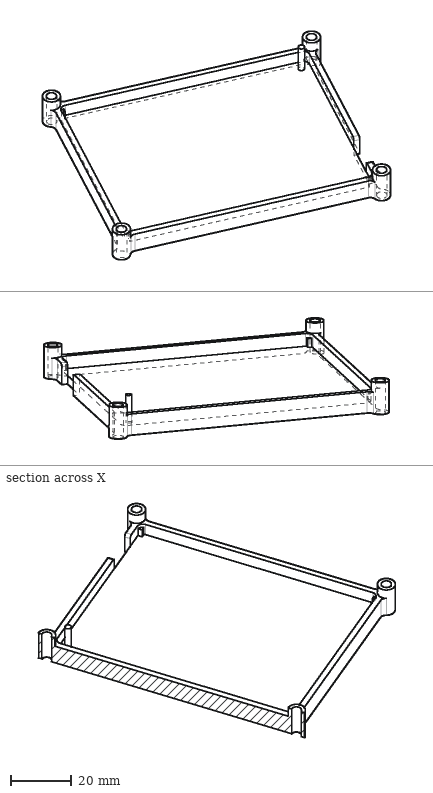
import cadquery as cq
import math

OVERALL_X = 76.95
OVERALL_Y = 97.17

POST_DIAMETER = 6.0
POST_BORE = 3.4
POST_HEIGHT = 11.0
POST_BLEND_RADIUS = 2.0

TRAY_X = OVERALL_X - POST_DIAMETER
TRAY_Y = OVERALL_Y - POST_DIAMETER
WALL_HEIGHT = 7.4
FLOOR_THICKNESS = 3.0
CAVITY_X = 67.0
CAVITY_Y = 87.0
CAVITY_CORNER_RADIUS = 2.0
WALL_X = (TRAY_X - CAVITY_X) / 2
WALL_Y = (TRAY_Y - CAVITY_Y) / 2

OPENING_LEFT = 13.5
OPENING_RIGHT = 26.0
OPENING_EDGE_RADIUS = 1.0

SUPPORT_SIZE = 1.5
SUPPORT_HEIGHT = 3.0
SUPPORT_CORNERS = [(-1, -1), (1, -1), (1, 1)]

PIN_DIAMETER = 2.1
PIN_TOP = 12.5
PIN_INSET_X = 3.3
PIN_INSET_Y = 3.3

ALL_CORNERS = [(-1, -1), (1, -1), (1, 1), (-1, 1)]
POST_CENTERS = [(sx * TRAY_X / 2, sy * TRAY_Y / 2) for sx, sy in ALL_CORNERS]


def make_post_blend(sign_x, sign_y, along_x):
    """Concave fillet between a post and the outer face of one of its two walls."""
    root_depth = min(WALL_X, WALL_Y) / 2
    post_radius = POST_DIAMETER / 2
    reach = math.sqrt((post_radius + POST_BLEND_RADIUS) ** 2 - POST_BLEND_RADIUS ** 2)
    post_share = post_radius / (post_radius + POST_BLEND_RADIUS)
    arc_angle = (math.atan2(-POST_BLEND_RADIUS, -reach) - math.pi / 2) / 2
    arc_middle = (
        reach + POST_BLEND_RADIUS * math.cos(arc_angle),
        POST_BLEND_RADIUS + POST_BLEND_RADIUS * math.sin(arc_angle),
    )

    def place(along, outward):
        """Point at a distance along the wall from the post axis and outward from the wall face."""
        if along_x:
            return sign_x * (TRAY_X / 2 - along), sign_y * (TRAY_Y / 2 + outward)
        return sign_x * (TRAY_X / 2 + outward), sign_y * (TRAY_Y / 2 - along)

    return (
        cq.Workplane("XY")
        .moveTo(*place(0, 0))
        .lineTo(*place(reach * post_share, POST_BLEND_RADIUS * post_share))
        .threePointArc(place(*arc_middle), place(reach, 0))
        .lineTo(*place(reach, -root_depth))
        .lineTo(*place(0, -root_depth))
        .close()
        .extrude(WALL_HEIGHT)
    )


def make_cavity():
    """Volume above the floor, with rounded vertical corners."""
    return (
        cq.Workplane("XY", origin=(0, 0, FLOOR_THICKNESS))
        .rect(CAVITY_X, CAVITY_Y)
        .extrude(POST_HEIGHT)
        .edges("|Z")
        .fillet(CAVITY_CORNER_RADIUS)
    )


def make_opening():
    """Cutter for the +Y wall opening whose flared top rounds over the wall ends."""
    r = OPENING_EDGE_RADIUS
    diagonal = r * (1 - math.sqrt(0.5))
    return (
        cq.Workplane("XZ", origin=(0, CAVITY_Y / 2, 0))
        .moveTo(OPENING_LEFT, 0)
        .lineTo(OPENING_LEFT, WALL_HEIGHT - r)
        .threePointArc(
            (OPENING_LEFT - diagonal, WALL_HEIGHT - diagonal),
            (OPENING_LEFT - r, WALL_HEIGHT),
        )
        .lineTo(OPENING_RIGHT + r, WALL_HEIGHT)
        .threePointArc(
            (OPENING_RIGHT + diagonal, WALL_HEIGHT - diagonal),
            (OPENING_RIGHT, WALL_HEIGHT - r),
        )
        .lineTo(OPENING_RIGHT, 0)
        .close()
        .extrude(-WALL_Y)
    )


def make_support(sign_x, sign_y):
    """Square support on the floor, reaching back into the walls of its corner."""
    side = SUPPORT_SIZE + WALL_X / 2
    center_x = sign_x * (CAVITY_X / 2 - SUPPORT_SIZE + side / 2)
    center_y = sign_y * (CAVITY_Y / 2 - SUPPORT_SIZE + side / 2)
    return (
        cq.Workplane("XY")
        .center(center_x, center_y)
        .rect(side, side)
        .extrude(FLOOR_THICKNESS + SUPPORT_HEIGHT)
    )


def make_tray():
    tray = cq.Workplane("XY").rect(TRAY_X, TRAY_Y).extrude(WALL_HEIGHT)
    posts = cq.Workplane("XY").pushPoints(POST_CENTERS).circle(POST_DIAMETER / 2).extrude(POST_HEIGHT)
    tray = tray.union(posts)
    for sign_x, sign_y in ALL_CORNERS:
        for along_x in (True, False):
            tray = tray.union(make_post_blend(sign_x, sign_y, along_x))
    tray = tray.cut(make_cavity())
    for sign_x, sign_y in SUPPORT_CORNERS:
        tray = tray.union(make_support(sign_x, sign_y))
    tray = tray.cut(make_opening())
    bores = cq.Workplane("XY").pushPoints(POST_CENTERS).circle(POST_BORE / 2).extrude(POST_HEIGHT)
    return tray.cut(bores)


def make_pin():
    return (
        cq.Workplane("XY", origin=(0, 0, FLOOR_THICKNESS))
        .center(-CAVITY_X / 2 + PIN_INSET_X, CAVITY_Y / 2 - PIN_INSET_Y)
        .circle(PIN_DIAMETER / 2)
        .extrude(PIN_TOP - FLOOR_THICKNESS)
    )


tray = make_tray()
pin = make_pin()

result = cq.Compound.makeCompound([tray.val(), pin.val()])